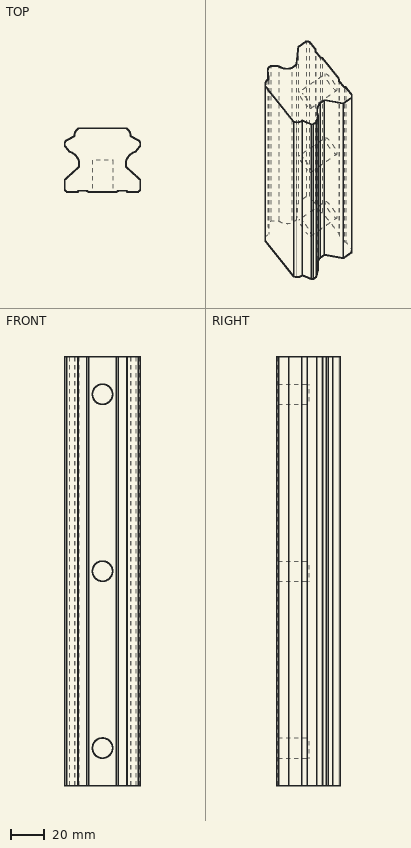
import cadquery as cq

length = 255.0
width = 45.0
height = 38.0
half_width = width / 2

crown_half_width = 14.3
crown_chamfer = 1.0
shoulder_half_width = 16.5
shoulder_height = 33.5
shoulder_sag = 0.5
flank_top = 29.5
flank_bottom = 27.5
flank_chamfer = 0.8
flank_chamfer_height = 1.0

raceway_half_width = 19.6
raceway_top = 24.0
raceway_sag = 1.0
neck_half_width = 14.0
neck_top = 18.4
neck_bottom = 15.0
foot_height = 7.5

base_chamfer = 1.3
groove_outer = 14.8
groove_inner = 8.2
groove_depth = 0.8
groove_inner_run = 1.3
groove_outer_run = 0.5

hole_diameter = 12.0
hole_depth = 19.0
hole_pitch = 105.0
hole_count = 3


def half_profile():
    """Right half of the cross-section, with the base on y = 0 and the middle on x = 0."""
    return (
        cq.Workplane("XY")
        .moveTo(0, height)
        .lineTo(crown_half_width, height)
        .lineTo(crown_half_width + crown_chamfer, height - crown_chamfer)
        .sagittaArc((shoulder_half_width, shoulder_height), shoulder_sag)
        .lineTo(half_width - flank_chamfer, flank_top + flank_chamfer_height)
        .lineTo(half_width, flank_top)
        .lineTo(half_width, flank_bottom)
        .lineTo(half_width - flank_chamfer, flank_bottom - flank_chamfer_height)
        .lineTo(raceway_half_width, raceway_top)
        .sagittaArc((neck_half_width, neck_top), -raceway_sag)
        .lineTo(neck_half_width, neck_bottom)
        .lineTo(half_width, foot_height)
        .lineTo(half_width, base_chamfer)
        .lineTo(half_width - base_chamfer, 0)
        .lineTo(groove_outer, 0)
        .lineTo(groove_outer - groove_outer_run, groove_depth)
        .lineTo(groove_inner + groove_inner_run, groove_depth)
        .lineTo(groove_inner, 0)
        .lineTo(0, 0)
        .close()
    )


def rail_body():
    """Full rail: the extruded half joined to its mirror image, centred on the origin."""
    half = half_profile().extrude(length).translate((0, -height / 2, -length / 2))
    return half.union(half.mirror("YZ")).clean()


def mounting_holes():
    """Row of flat-bottomed holes along the middle of the underside."""
    first_hole = -hole_pitch * (hole_count - 1) / 2
    positions = [(0, first_hole + i * hole_pitch) for i in range(hole_count)]
    return (
        cq.Workplane("XZ", origin=(0, -height / 2, 0))
        .pushPoints(positions)
        .circle(hole_diameter / 2)
        .extrude(-hole_depth)
    )


result = rail_body().cut(mounting_holes())